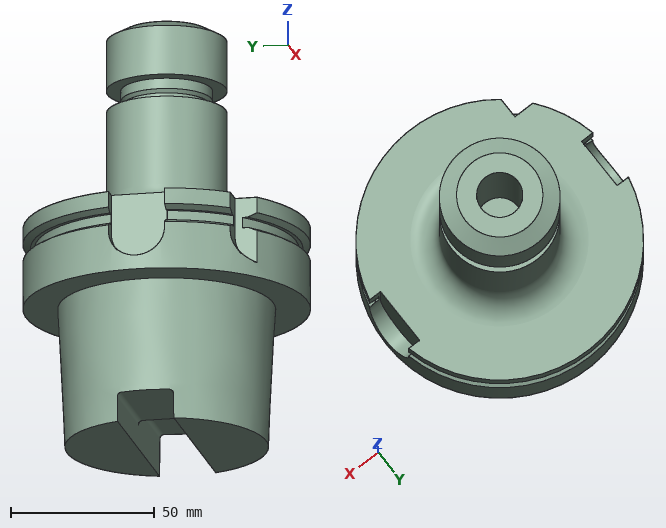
import cadquery as cq
import math


SHANK_LENGTH = 50.0
SHANK_TOP_RADIUS = 37.9
TAPER_RATIO = 10.0
SHANK_BOTTOM_RADIUS = SHANK_TOP_RADIUS - SHANK_LENGTH / TAPER_RATIO / 2

FLANGE_RADIUS = 50.0
FLANGE_HEIGHT = 29.0
GROOVE_CENTRE_Z = 20.1
GROOVE_WIDTH = 3.7
GROOVE_FLOOR_RADIUS = 46.0
GROOVE_LIP_DEPTH = 2.6
GROOVE_LIP_ANGLE = 28.0

POST_RADIUS = 21.0
POST_HEIGHT = 42.0
POST_FILLET = 10.0
NECK_RADIUS = 15.0
NECK_COLLAR_RADIUS = 16.0
NECK_CONE_HEIGHT = 1.3
NECK_COLLAR_HEIGHT = 3.7
NUT_HEIGHT = 21.0
NUT_BEVEL_WIDTH = 6.0
NUT_BEVEL_HEIGHT = 3.3
OVERALL_LENGTH = 150.0
BORE_DIAMETER = 16.0
BORE_DEPTH = 40.0

DRIVE_SLOT_FLOOR_X = 44.0
LEFT_SLOT_WIDTH = 20.0
RIGHT_SLOT_WIDTH = 22.0
FLANGE_SLOT_DEPTH = 24.0
NOTCH_FLOOR_X = 31.2
NOTCH_WALL_Y = -31.2
NOTCH_WIDTH = 20.0

KEY_SLOT_WIDTH = 20.0
LEFT_KEY_SLOT_DEPTH = 10.2
RIGHT_KEY_SLOT_DEPTH = 15.4
KEY_SLOT_FILLET = 1.5

POST_TOP_Z = FLANGE_HEIGHT + POST_HEIGHT
NUT_TOP_Z = OVERALL_LENGTH - SHANK_LENGTH
NUT_BOTTOM_Z = NUT_TOP_Z - NUT_HEIGHT


def revolved_body():
    """Shank, grooved flange, post, neck and nut as one turned profile."""
    groove_bottom = GROOVE_CENTRE_Z - GROOVE_WIDTH / 2
    groove_top = GROOVE_CENTRE_Z + GROOVE_WIDTH / 2
    lip_radius = FLANGE_RADIUS - GROOVE_LIP_DEPTH
    lip_height = GROOVE_LIP_DEPTH * math.tan(math.radians(GROOVE_LIP_ANGLE))
    fillet_offset = POST_FILLET * (1 - math.sqrt(0.5))
    collar_bottom = NUT_BOTTOM_Z - NECK_COLLAR_HEIGHT
    profile = (
        cq.Workplane("XZ")
        .moveTo(0, -SHANK_LENGTH)
        .lineTo(SHANK_BOTTOM_RADIUS, -SHANK_LENGTH)
        .lineTo(SHANK_TOP_RADIUS, 0)
        .lineTo(FLANGE_RADIUS, 0)
        .lineTo(FLANGE_RADIUS, groove_bottom - lip_height)
        .lineTo(lip_radius, groove_bottom)
        .lineTo(GROOVE_FLOOR_RADIUS, groove_bottom)
        .lineTo(GROOVE_FLOOR_RADIUS, groove_top)
        .lineTo(lip_radius, groove_top)
        .lineTo(FLANGE_RADIUS, groove_top + lip_height)
        .lineTo(FLANGE_RADIUS, FLANGE_HEIGHT)
        .lineTo(POST_RADIUS + POST_FILLET, FLANGE_HEIGHT)
        .threePointArc(
            (POST_RADIUS + fillet_offset, FLANGE_HEIGHT + fillet_offset),
            (POST_RADIUS, FLANGE_HEIGHT + POST_FILLET),
        )
        .lineTo(POST_RADIUS, POST_TOP_Z)
        .lineTo(NECK_RADIUS, POST_TOP_Z)
        .lineTo(NECK_RADIUS, collar_bottom - NECK_CONE_HEIGHT)
        .lineTo(NECK_COLLAR_RADIUS, collar_bottom)
        .lineTo(NECK_COLLAR_RADIUS, NUT_BOTTOM_Z)
        .lineTo(POST_RADIUS, NUT_BOTTOM_Z)
        .lineTo(POST_RADIUS, NUT_TOP_Z - NUT_BEVEL_HEIGHT)
        .lineTo(POST_RADIUS - NUT_BEVEL_WIDTH, NUT_TOP_Z)
        .lineTo(0, NUT_TOP_Z)
        .close()
    )
    return profile.revolve(360, (0, 0, 0), (0, 1, 0))


def nut_bore():
    """Blind collet bore, open at the top of the nut."""
    return (
        cq.Workplane("XY")
        .workplane(offset=NUT_TOP_Z - BORE_DEPTH)
        .circle(BORE_DIAMETER / 2)
        .extrude(BORE_DEPTH)
    )


def flange_slot(side, floor_x, width, centre_y=0.0):
    """Round-bottomed slot, open at the flange top and rim; side is -1 or +1 along X."""
    radius = width / 2
    arc_z = FLANGE_HEIGHT - FLANGE_SLOT_DEPTH + radius
    return (
        cq.Workplane("YZ", origin=(side * floor_x, centre_y, 0))
        .moveTo(-radius, FLANGE_HEIGHT)
        .lineTo(-radius, arc_z)
        .threePointArc((0, arc_z - radius), (radius, arc_z))
        .lineTo(radius, FLANGE_HEIGHT)
        .close()
        .extrude(side * (FLANGE_RADIUS - floor_x))
    )


def key_slot(side, depth):
    """Slot across the shank end, from the axis out through one side."""
    return (
        cq.Workplane("XY", origin=(side * SHANK_TOP_RADIUS / 2, 0, -SHANK_LENGTH))
        .box(SHANK_TOP_RADIUS, KEY_SLOT_WIDTH, depth, centered=(True, True, False))
        .edges("|X and >Z")
        .fillet(KEY_SLOT_FILLET)
    )


result = revolved_body().cut(nut_bore())
result = result.cut(flange_slot(-1, DRIVE_SLOT_FLOOR_X, LEFT_SLOT_WIDTH))
result = result.cut(flange_slot(1, DRIVE_SLOT_FLOOR_X, RIGHT_SLOT_WIDTH))
notch_centre_y = NOTCH_WALL_Y - NOTCH_WIDTH / 2
result = result.cut(flange_slot(-1, NOTCH_FLOOR_X, NOTCH_WIDTH, notch_centre_y))
result = result.cut(key_slot(-1, LEFT_KEY_SLOT_DEPTH))
result = result.cut(key_slot(1, RIGHT_KEY_SLOT_DEPTH))